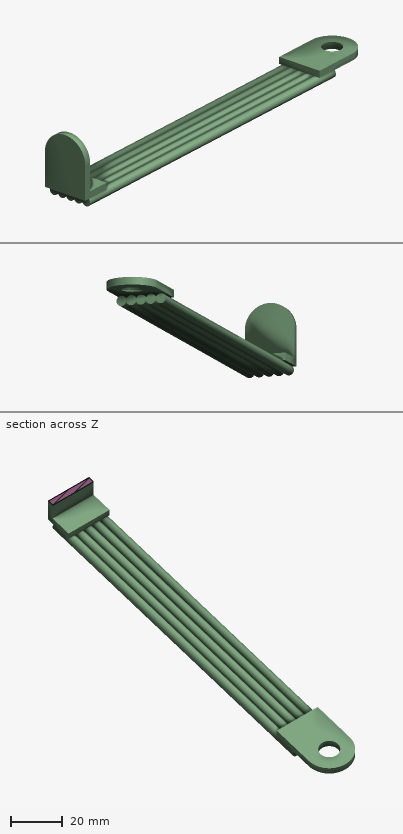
import cadquery as cq

plate_width = 20.0
plate_thickness = 3.0
end_radius = plate_width / 2
overall_length = 173.0

eye_plate_length = 30.0
eye_hole_diameter = 8.5
eye_center_y = overall_length - end_radius

upright_height = 25.0
foot_length = 10.0

rod_count = 5
rod_diameter = 4.0
rod_gap = 0.01
rod_pitch = rod_diameter + rod_gap
rod_sink = 0.01
rod_center_z = rod_sink - rod_diameter / 2
rod_start_y = plate_thickness
rod_end_y = overall_length - plate_width


def round_ended_outline(workplane, start, arc_center):
    """Full-width strip from start to arc_center, closed by a half circle."""
    return (
        workplane.moveTo(-end_radius, start)
        .lineTo(-end_radius, arc_center)
        .threePointArc((0, arc_center + end_radius), (end_radius, arc_center))
        .lineTo(end_radius, start)
        .close()
    )


def make_eye_plate():
    """Flat plate with a round end and a hole concentric with it."""
    start_y = overall_length - eye_plate_length
    plate = round_ended_outline(cq.Workplane("XY"), start_y, eye_center_y).extrude(plate_thickness)
    hole = (
        cq.Workplane("XY")
        .center(0, eye_center_y)
        .circle(eye_hole_diameter / 2)
        .extrude(plate_thickness)
    )
    return plate.cut(hole)


def make_bracket():
    """Round-topped upright with a flat foot behind it."""
    arc_center_z = upright_height - end_radius
    upright = round_ended_outline(cq.Workplane("XZ"), 0, arc_center_z).extrude(-plate_thickness)
    foot = cq.Workplane("XY").box(
        plate_width,
        plate_thickness + foot_length,
        plate_thickness,
        centered=(True, False, False),
    )
    return upright.union(foot)


def make_rod(center_x):
    """Round rod along Y under the plates."""
    return (
        cq.Workplane("XZ", origin=(center_x, rod_start_y, rod_center_z))
        .circle(rod_diameter / 2)
        .extrude(rod_start_y - rod_end_y)
    )


result = make_eye_plate().union(make_bracket())
for index in range(rod_count):
    rod_x = (index - (rod_count - 1) / 2) * rod_pitch
    result = result.union(make_rod(rod_x))